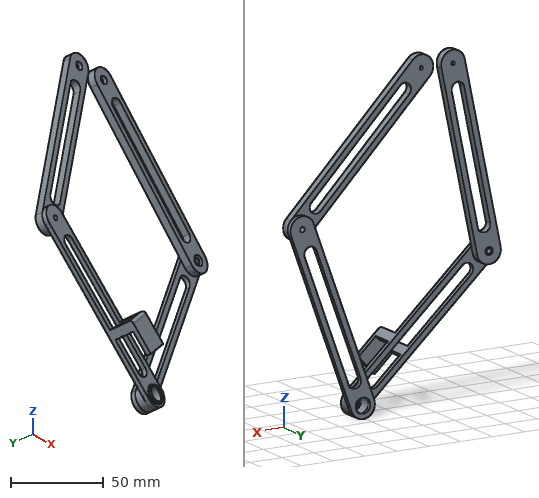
import cadquery as cq
import math


link_length = 110.0
link_radius = 7.5
link_width = 2 * link_radius
slot_width = 7.9
slot_margin = 15.0
slot_centres = link_length - 2 * slot_margin

thin = 3.0
thick = 5.0
middle_depth = thin
front_depth = middle_depth + thick
face_depth = front_depth + thin
total_depth = 26.5

back_heading = 69.8
front_heading = 137.2
left_heading = 78.2
right_heading = 133.9

pivot_diameter = 10.3
pivot_bore = 9.0
lip_diameter = 11.0
lip_height = 1.2
pivot_mouth_diameter = 11.8
pivot_mouth_depth = (pivot_mouth_diameter - pivot_diameter) / 2

pin_diameter = 4.5
pin_bore = 3.0
countersink_diameter = 6.5
countersink_depth = (countersink_diameter - pin_diameter) / 2

screw_bore = 2.0
screw_head_diameter = 5.0
screw_head_depth = thick / 2

clip_free_end = 22.0
clip_post_end = 43.0
clip_post_thickness = 6.1
clip_fillet = 2.0
clip_length = clip_post_end - clip_free_end


def plane_at(depth):
    return cq.Workplane("XZ").workplane(offset=depth)


def disc(diameter, depth, height, along=0):
    """Cylinder on the link's centreline, from the given depth toward -Y."""
    return plane_at(depth).center(along, 0).circle(diameter / 2).extrude(height)


def cone(start_diameter, end_diameter, depth, height):
    """Cone at the link's origin, from the given depth toward -Y."""
    base = plane_at(depth).circle(start_diameter / 2)
    return base.workplane(offset=height).circle(end_diameter / 2).loft()


def slot_cutter(depth, height):
    middle = link_length / 2
    return plane_at(depth).center(middle, 0).slot2D(slot_centres + slot_width, slot_width).extrude(height)


def link_blank(depth, thickness):
    """Slotted round-ended bar running from the origin along +X."""
    middle = link_length / 2
    bar = plane_at(depth).center(middle, 0).slot2D(link_length + link_width, link_width).extrude(thickness)
    return bar.cut(slot_cutter(depth, thickness))


def place(body, joint, heading):
    return body.rotate((0, 0, 0), (0, -1, 0), heading).translate((joint[0], 0, joint[1]))


def next_joint(joint, heading):
    angle = math.radians(heading)
    return (joint[0] + link_length * math.cos(angle), joint[1] + link_length * math.sin(angle))


def make_back_link():
    """Back link with the large snap pivot at its start and a small pin at its end."""
    lip = cone(lip_diameter, pivot_diameter, face_depth, lip_height)
    body = link_blank(0, thin)
    body = body.union(disc(pivot_diameter, middle_depth, face_depth - middle_depth)).union(lip)
    body = body.cut(disc(pivot_bore, 0, face_depth + lip_height))
    body = body.union(disc(pin_diameter, middle_depth, thick - countersink_depth, link_length))
    return body.cut(disc(pin_bore, 0, front_depth, link_length))


def make_clip():
    """L-shaped clip: a post split by the slot, carrying a plate parallel to the link."""
    plate_depth = total_depth - thin
    plate = (
        plane_at(plate_depth)
        .center((clip_free_end + clip_post_end) / 2, 0)
        .rect(clip_length, link_width)
        .extrude(thin)
    )
    post = (
        plane_at(face_depth)
        .center(clip_post_end - clip_post_thickness / 2, 0)
        .rect(clip_post_thickness, link_width)
        .extrude(plate_depth - face_depth)
    )
    body = plate.union(post).edges("|Z and >X and <Y").fillet(clip_fillet)
    return body.cut(slot_cutter(face_depth, plate_depth - face_depth))


def make_front_link():
    """Front link with a spacer at the pivot, a pin at the far joint and the clip."""
    body = link_blank(front_depth, thin).union(make_clip())
    body = body.union(disc(link_width, middle_depth, thick))
    body = body.cut(disc(pivot_diameter, middle_depth, face_depth - middle_depth))
    mouth = cone(pivot_diameter, pivot_mouth_diameter, face_depth - pivot_mouth_depth, pivot_mouth_depth)
    body = body.cut(mouth)
    body = body.union(disc(pin_diameter, middle_depth, thick, link_length))
    return body.cut(disc(pin_bore, middle_depth, face_depth - middle_depth, link_length))


def make_middle_link():
    """Middle link with a pin hole at its start and a stepped screw hole at its free end."""
    body = link_blank(middle_depth, thick)
    body = body.cut(disc(pin_diameter, middle_depth, thick))
    body = body.cut(disc(screw_bore, middle_depth, thick, link_length))
    return body.cut(disc(screw_head_diameter, front_depth - screw_head_depth, screw_head_depth, link_length))


def countersink_pin_hole(link):
    """Widen the front mouth of the pin hole into a 45 degree cone."""
    return link.cut(cone(pin_diameter, countersink_diameter, front_depth - countersink_depth, countersink_depth))


bottom_joint = (0, 0)
right_joint = next_joint(bottom_joint, back_heading)
left_joint = next_joint(bottom_joint, front_heading)

back_link = place(make_back_link(), bottom_joint, back_heading)
front_link = place(make_front_link(), bottom_joint, front_heading)
left_link = place(make_middle_link(), left_joint, left_heading)
right_link = place(countersink_pin_hole(make_middle_link()), right_joint, right_heading)

result = cq.Compound.makeCompound(
    [back_link.val(), front_link.val(), left_link.val(), right_link.val()]
)